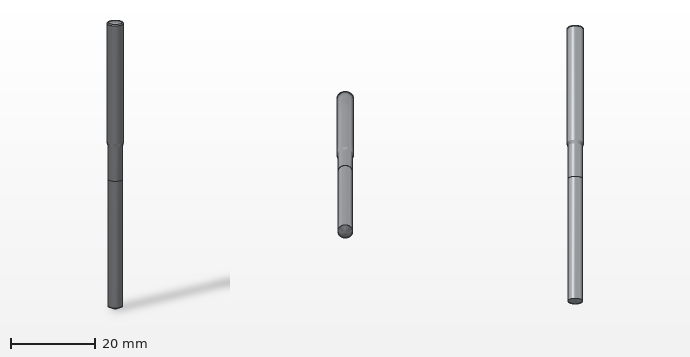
import cadquery as cq

total_length = 71.0
shank_diameter = 4.0
shank_bottom_z = 41.4
chamfer_width = 0.3
chamfer_height = 0.3
body_diameter = 3.5
neck_top_z = 40.55
joint_z = 32.15
point_height = 0.8

shank_radius = shank_diameter / 2
body_radius = body_diameter / 2


def revolve_profile(points):
    """Revolve a closed (radius, height) outline about the Z axis."""
    return cq.Workplane("XZ").polyline(points).close().revolve(360, (0, 0, 0), (0, 1, 0))


def make_shank():
    """Chamfered shank that tapers into a slimmer neck, flush with the cutter at the joint."""
    return revolve_profile([
        (0, joint_z),
        (body_radius, joint_z),
        (body_radius, neck_top_z),
        (shank_radius, shank_bottom_z),
        (shank_radius, total_length - chamfer_height),
        (shank_radius - chamfer_width, total_length),
        (0, total_length),
    ])


def make_cutter():
    """Cylindrical cutting section with a conical point."""
    return revolve_profile([
        (0, 0),
        (body_radius, point_height),
        (body_radius, joint_z),
        (0, joint_z),
    ])


shank = make_shank()
cutter = make_cutter()

result = cq.Compound.makeCompound([shank.val(), cutter.val()])